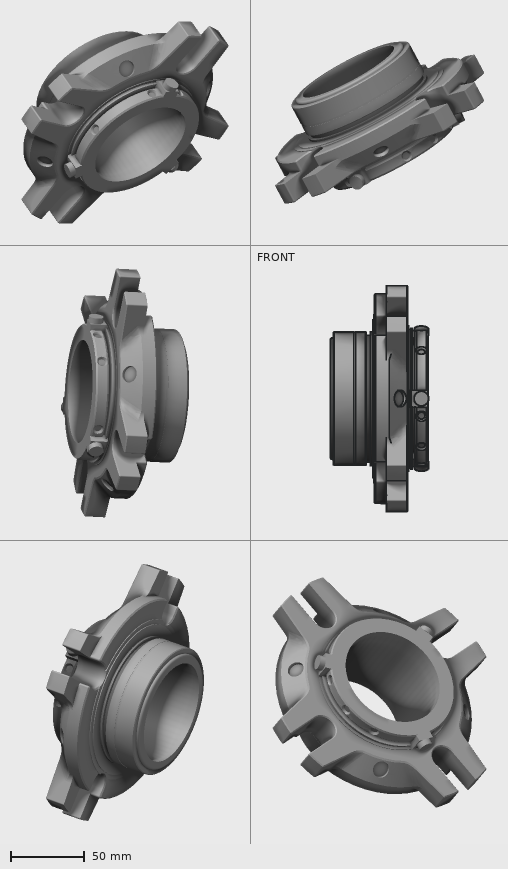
import cadquery as cq
import math


bore_dia = 70.0
nose_dia = 82.5
nose_round = 1.8
collar_dia = 90.5
collar_start = 2.1
collar_end = 24.5
collar_chamfer = 0.6
collar_groove_dia = 90.0
collar_groove_start = 15.9
collar_groove_end = 17.3
neck_dia = 86.0
neck_end = 27.2
shoulder_dia = 90.7
pilot_dia = 107
pilot_start = 28.7
raised_face_dia = 113.8
raised_face_start = 29.3

flange_dia = 142
flange_radius = flange_dia / 2
flange_start = 29.8
flange_chamfer = 0.9
lug_start = 37.9
cone_start = 39.9
flange_end = 52.5
cone_end_radius = flange_radius - (flange_end - cone_start)

slot_width = 18.0
slot_centre_radius = 63.5
lug_tip_radius = 88.9
lug_tip_half_width = 22.1
lug_tip_station = 86.5
lug_flank_angle = 7
lug_corner_round = 0.9
lug_root_round = 6.4
lug_end_chamfer = 0.8
slot_mouth_round = 1.2
select_margin = 0.2
slot_angles = (45, 135, 225, 315)

spot_dia = 11.3
spot_depth = 2.7
spot_station = 47.4
spot_angles = (0, 90, 180, 270)

rear_boss_dia = 98.4
rear_boss_end = 53.0
inner_ring_dia = 94.0
inner_ring_end = 54.5
outer_ring_dia = 95.5
outer_ring_end = 55.6
sleeve_dia = 73.0
drive_ring_start = 57.1
drive_ring_end = 66.1
drive_ring_dia = 92.4
drive_ring_edge_width = 1.2
drive_ring_edge_drop = 0.8

screw_floor_dia = 4.9
screw_mouth_dia = 7.3
screw_recess_depth = 1.7
screw_angles = (45, 105, 135, 165, 225, 285, 315, 345)
screw_station = (drive_ring_start + drive_ring_end) / 2

clip_width = 11.6
clip_start = 53.9
clip_top_radius = 50.0
clip_bottom_radius = 45.2
clip_chamfer = 0.9
clip_hook_radius = 44.0
clip_head_dia = 10.0
clip_head_top_radius = 53.9
clip_angles = (0, 120, 240)


def cylinder(start, end, diameter):
    """Disc around the X axis between two stations."""
    return cq.Workplane("YZ", origin=(start, 0, 0)).circle(diameter / 2).extrude(end - start)


def turn(solid, angle):
    """Rotate a solid about the part axis; positive angles run from -Y towards +Z."""
    return solid.rotate((0, 0, 0), (1, 0, 0), -angle)


def make_front_sleeve():
    nose = cylinder(0, collar_start, nose_dia).faces("<X").edges().fillet(nose_round)
    collar = cylinder(collar_start, collar_end, collar_dia).edges().chamfer(collar_chamfer)
    groove = cylinder(collar_groove_start, collar_groove_end, collar_dia)
    groove = groove.cut(cylinder(collar_groove_start, collar_groove_end, collar_groove_dia))
    sleeve = nose.union(collar.cut(groove))
    sleeve = sleeve.union(cylinder(collar_end, neck_end, neck_dia))
    sleeve = sleeve.union(cylinder(neck_end, pilot_start, shoulder_dia))
    return sleeve.union(cylinder(pilot_start, flange_start, pilot_dia))


def make_slot(angle):
    """Open U slot along one diagonal, through the whole flange."""
    slot = cq.Workplane("YZ").center(slot_centre_radius, 0).circle(slot_width / 2).extrude(flange_end)
    channel = (
        cq.Workplane("YZ")
        .center(slot_centre_radius + lug_tip_radius / 2, 0)
        .rect(lug_tip_radius, slot_width)
        .extrude(flange_end)
    )
    return turn(slot.union(channel), angle)


def make_lug_pair(angle):
    """Two lugs, one each side of a slot, tapering outwards to a round tip."""
    flank_slope = math.tan(math.radians(lug_flank_angle))
    root_half_width = lug_tip_half_width + lug_tip_station * flank_slope
    end_half_width = lug_tip_half_width - (lug_tip_radius - lug_tip_station) * flank_slope
    outline = [
        (0, -root_half_width),
        (lug_tip_radius, -end_half_width),
        (lug_tip_radius, end_half_width),
        (0, root_half_width),
    ]
    pair = cq.Workplane("YZ", origin=(lug_start, 0, 0)).polyline(outline).close()
    pair = pair.extrude(flange_end - lug_start)
    pair = pair.intersect(cylinder(lug_start, flange_end, 2 * lug_tip_radius))
    pair = pair.cut(make_slot(0))
    tip_zone = cq.selectors.BoxSelector(
        (lug_start, flange_radius + lug_root_round, -lug_tip_radius),
        (flange_end, lug_tip_radius, lug_tip_radius),
    )
    pair = pair.edges("|X").edges(tip_zone).fillet(lug_corner_round)
    return turn(pair, angle)


def lug_root_zone(side):
    """Selects the edges along one lug flank at its root, for a pair centred on +Y."""
    return cq.selectors.BoxSelector(
        (lug_start + select_margin, slot_centre_radius - slot_width / 2, side * lug_tip_half_width),
        (flange_end - select_margin, flange_radius, side * (lug_tip_half_width + lug_root_round)),
    )


def make_flange():
    """Flange disc with a conical back, the lug pairs and the slots, edges broken at both faces."""
    rim = cylinder(flange_start, cone_start, flange_dia)
    back = (
        cq.Workplane("XY")
        .moveTo(cone_start, 0)
        .lineTo(cone_start, flange_radius)
        .lineTo(flange_end, cone_end_radius)
        .lineTo(flange_end, 0)
        .close()
        .revolve(360, (0, 0, 0), (1, 0, 0))
    )
    flange = rim.union(back)
    slot_mouth_zone = cq.selectors.BoxSelector(
        (flange_start, flange_radius - slot_mouth_round, -slot_width),
        (lug_start, flange_radius, slot_width),
    )
    for angle in slot_angles:
        flange = turn(flange.union(make_lug_pair(angle)), -angle)
        flange = flange.edges(lug_root_zone(1) + lug_root_zone(-1)).fillet(lug_root_round)
        flange = turn(flange, angle)
    for angle in slot_angles:
        flange = turn(flange.cut(make_slot(angle)), -angle)
        flange = flange.edges(slot_mouth_zone).fillet(slot_mouth_round)
        flange = turn(flange, angle)
    flange = flange.faces("<X").edges().chamfer(flange_chamfer)
    flange = flange.faces(">X").edges().chamfer(lug_end_chamfer)
    raised_face = cylinder(raised_face_start, cone_start, raised_face_dia)
    for angle in slot_angles:
        raised_face = raised_face.cut(make_slot(angle))
    return flange.union(raised_face)


def make_spot(angle):
    """Blind flat hole drilled square into the cone."""
    mouth_radius = flange_radius - (spot_station - cone_start)
    plane = cq.Plane(origin=(spot_station, -mouth_radius, 0), xDir=(0, 0, 1), normal=(1, -1, 0))
    spot = cq.Workplane(plane).circle(spot_dia / 2).extrude(spot_depth, both=True)
    return turn(spot, angle)


def make_rear_rings():
    rings = cylinder(flange_end, rear_boss_end, rear_boss_dia)
    rings = rings.union(cylinder(rear_boss_end, inner_ring_end, inner_ring_dia))
    rings = rings.union(cylinder(inner_ring_end, outer_ring_end, outer_ring_dia))
    return rings.union(cylinder(outer_ring_end, drive_ring_start, sleeve_dia))


def make_screw_recess(angle):
    """Tapered recess down to the flat end of a set screw, pointing at the part axis."""
    surface = cq.Workplane("XZ", origin=(screw_station, -drive_ring_dia / 2, 0))
    recess = (
        surface.circle(screw_mouth_dia / 2)
        .workplane(offset=-screw_recess_depth)
        .circle(screw_floor_dia / 2)
        .loft()
    )
    return turn(recess, angle)


def make_drive_ring():
    ring = cylinder(drive_ring_start, drive_ring_end, drive_ring_dia)
    ring = ring.edges().chamfer(drive_ring_edge_width, drive_ring_edge_drop)
    for angle in screw_angles:
        ring = ring.cut(make_screw_recess(angle))
    return ring


def make_clip(angle):
    """Clip lying on the drive ring, hooked into the gap in front of it, with its screw head."""
    arm = cq.Workplane("XZ", origin=(clip_start, -clip_bottom_radius, -clip_width / 2))
    arm = arm.rect(drive_ring_end - clip_start, clip_width, centered=False)
    arm = arm.extrude(clip_top_radius - clip_bottom_radius)
    arm = arm.edges("|Z and <X and <Y").chamfer(clip_chamfer)
    hook = cq.Workplane("XZ", origin=(outer_ring_end, -clip_hook_radius, -clip_width / 2))
    hook = hook.rect(drive_ring_start - outer_ring_end, clip_width, centered=False)
    hook = hook.extrude(clip_top_radius - clip_hook_radius)
    head = cq.Workplane("XZ", origin=(screw_station, -clip_top_radius, 0))
    head = head.circle(clip_head_dia / 2).extrude(clip_head_top_radius - clip_top_radius)
    return turn(arm.union(hook).union(head), angle)


flange = make_flange()
for angle in spot_angles:
    flange = flange.cut(make_spot(angle))

result = make_front_sleeve().union(flange).union(make_rear_rings()).union(make_drive_ring())
for angle in clip_angles:
    result = result.union(make_clip(angle))
result = result.cut(cylinder(0, drive_ring_end, bore_dia))